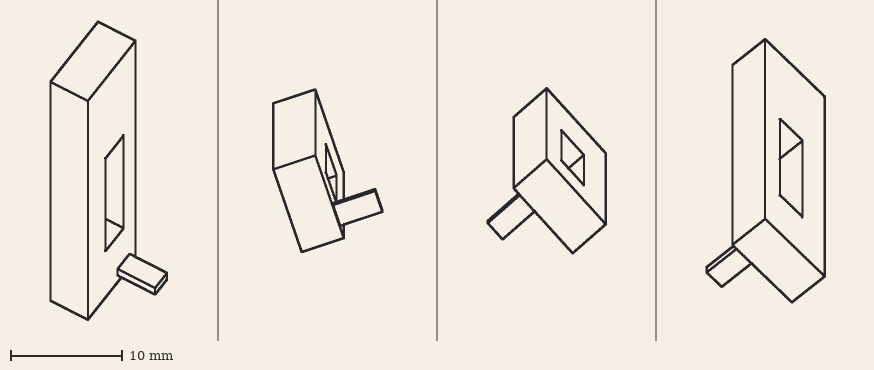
import cadquery as cq

plate_thickness = 4.0
plate_width = 8.0
plate_height = 33.0

window_width = 3.05
window_height = 14.0
window_back_margin = 1.98
window_bottom = 7.0

tab_length = plate_width - plate_thickness
tab_width = 2.0
tab_thickness = 1.0
tab_back_margin = 1.0
tab_bottom = 1.02


def corner_box(length, width, height, corner):
    """Box whose lowest X, Y, Z corner sits at the given point."""
    return cq.Workplane("XY").box(length, width, height, centered=False).translate(corner)


plate = corner_box(plate_thickness, plate_width, plate_height, (0, 0, 0))

window_front = plate_width - window_back_margin - window_width
window = corner_box(plate_thickness, window_width, window_height, (0, window_front, window_bottom))

tab_front = plate_width - tab_back_margin - tab_width
tab = corner_box(tab_length, tab_width, tab_thickness, (plate_thickness, tab_front, tab_bottom))

result = plate.cut(window).union(tab)